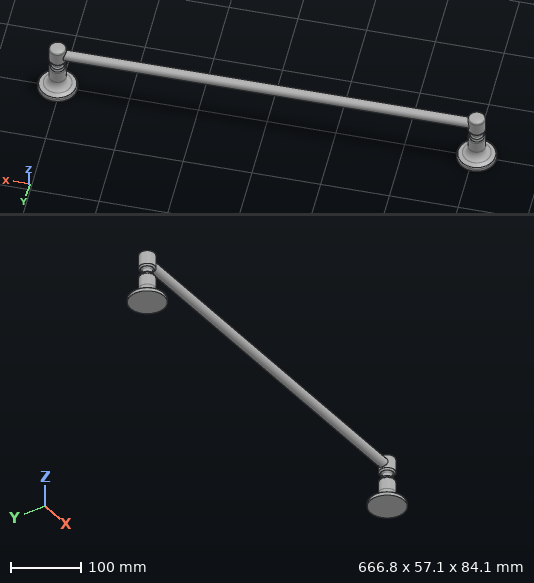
import cadquery as cq
import math

post_spacing = 609.6
overall_height = 84.07

bar_radius = 15.875 / 2
bar_height = 69.5

base_radius = 57.15 / 2
base_edge_height = 5.0
base_edge_round = 1.5
skirt_foot_radius = 20.4
skirt_foot_height = 9.2

barrel_radius = 12.5
barrel_bottom = 23.0
barrel_top = 42.5
barrel_edge_round = 0.5

collar_foot_radius = 10.3
collar_radius = 9.5
collar_top = 47.3

neck_radius = 7.4
neck_cove = 1.6

head_radius = barrel_radius
head_bottom = 56.5
head_edge_chamfer = 2.5
crown_rise = 2.1
crown_edge_round = 1.2
crown_radius = head_radius - crown_edge_round
crown_foot = overall_height - crown_rise


def flare_up(profile, foot, top):
    """Add a concave arc from foot up to top, where it runs parallel to the axis."""
    rise = top[1] - foot[1]
    reach = foot[0] - top[0]
    radius = (rise**2 + reach**2) / (2 * reach)
    half_sweep = math.atan2(reach, rise)
    middle = (
        top[0] + radius * (1 - math.cos(half_sweep)),
        top[1] - radius * math.sin(half_sweep),
    )
    return profile.threePointArc(middle, top)


def round_corner(profile, corner, start, end):
    """Draw to start, then a quarter round to end that replaces the square corner."""
    inset = 1 - math.sqrt(0.5)
    middle = tuple(c + inset * (s + e - 2 * c) for c, s, e in zip(corner, start, end))
    return profile.lineTo(*start).threePointArc(middle, end)


def add_base(profile):
    """Base disc with a rounded upper edge, then the flared skirt up to the barrel."""
    edge_top = base_edge_height + base_edge_round
    edge_start = (base_radius, base_edge_height)
    edge_end = (base_radius - base_edge_round, edge_top)
    skirt_foot = (skirt_foot_radius, skirt_foot_height)
    profile = profile.lineTo(base_radius, 0)
    profile = round_corner(profile, (base_radius, edge_top), edge_start, edge_end)
    profile = profile.lineTo(*skirt_foot)
    return flare_up(profile, skirt_foot, (barrel_radius, barrel_bottom))


def add_barrel_and_collar(profile):
    """Barrel with a rounded rim, then the coved collar standing on it."""
    rim_start = (barrel_radius, barrel_top - barrel_edge_round)
    rim_end = (barrel_radius - barrel_edge_round, barrel_top)
    collar_foot = (collar_foot_radius, barrel_top)
    profile = round_corner(profile, (barrel_radius, barrel_top), rim_start, rim_end)
    profile = profile.lineTo(*collar_foot)
    return flare_up(profile, collar_foot, (collar_radius, collar_top))


def add_neck(profile):
    """Neck cylinder that flares through a cove into the collar and into the head."""
    flare_radius = neck_radius + neck_cove
    lower_foot = (flare_radius, collar_top)
    lower_end = (neck_radius, collar_top + neck_cove)
    upper_start = (neck_radius, head_bottom - neck_cove)
    upper_end = (flare_radius, head_bottom)
    profile = round_corner(profile, (neck_radius, collar_top), lower_foot, lower_end)
    return round_corner(profile, (neck_radius, head_bottom), upper_start, upper_end)


def add_head(profile):
    """Head cylinder with a chamfered lower edge and a low domed crown with a rounded rim."""
    bottom_start = (head_radius - head_edge_chamfer, head_bottom)
    bottom_end = (head_radius, head_bottom + head_edge_chamfer)
    top_start = (head_radius, crown_foot - crown_edge_round)
    top_end = (crown_radius, crown_foot)
    dome_radius = (crown_radius**2 + crown_rise**2) / (2 * crown_rise)
    dome_half_angle = math.atan2(crown_rise, crown_radius)
    dome_middle = (
        dome_radius * math.sin(dome_half_angle),
        overall_height - dome_radius * (1 - math.cos(dome_half_angle)),
    )
    profile = profile.lineTo(*bottom_start).lineTo(*bottom_end)
    profile = round_corner(profile, (head_radius, crown_foot), top_start, top_end)
    return profile.threePointArc(dome_middle, (0, overall_height))


def make_post_blank():
    """Solid post turned about the Z axis, before the bar socket is cut."""
    profile = cq.Workplane("XZ")
    for add_section in (add_base, add_barrel_and_collar, add_neck, add_head):
        profile = add_section(profile)
    return profile.close().revolve(360, (0, 0, 0), (0, 1, 0))


def make_bar():
    """Straight round bar reaching from one post axis to the other."""
    bar_start = cq.Workplane("YZ", origin=(-post_spacing / 2, 0, bar_height))
    return bar_start.circle(bar_radius).extrude(post_spacing)


def make_post(side, bar):
    """Post at one end of the bar, with a socket that fits the bar end."""
    return make_post_blank().translate((side * post_spacing / 2, 0, 0)).cut(bar)


bar = make_bar()
posts = [make_post(side, bar) for side in (-1, 1)]

result = cq.Compound.makeCompound([bar.val(), *[post.val() for post in posts]])